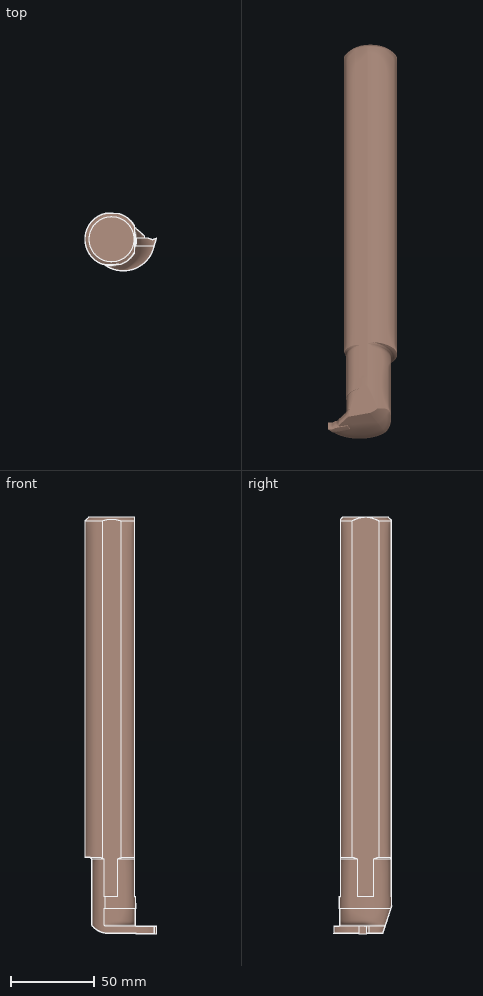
import cadquery as cq

total_length = 250.0
shank_radius = 16.0
shank_bottom = 46.0
end_chamfer = 2.5
front_flat = 15.0
back_flat = 15.5
cutting_flat = 13.8
flat_bottom = 22.5

neck_radius = 15.8
neck_center_x = -1.2
relief_step = 0.2
relief_top = 15.5
neck_root_fillet = 0.8
shoulder_height = 1.0

disc_radius = 19.0
disc_center_x = 7.0
head_bottom = 0.5
head_height = 4.8
heel_height = 5.5
heel_run = 8.5
heel_radius = 12.5
taper_top = 17.5
taper_foot_y = 10.2

insert_thickness = 4.8
insert_start_x = 14.5
insert_tip_x = 27.0
insert_side_relief = 1.5
rake_y = 0.8
groove_start_x = 22.0
groove_depth = 1.0
gullet_start = (8.5, 12.0)
gullet_end = (19.8, 2.0)
clearance = 50.0


def cylinder(radius, center_x, bottom, top):
    """Make an upright cylinder centred on the XZ plane."""
    return cq.Workplane("XY", origin=(center_x, 0, bottom)).circle(radius).extrude(top - bottom)


def flat_limits(bottom, top):
    """Make the block that trims a bar to its three flats."""
    width = clearance + cutting_flat
    block = cq.Workplane("XY", origin=(cutting_flat - width / 2, (back_flat - front_flat) / 2, bottom))
    return block.rect(width, front_flat + back_flat).extrude(top - bottom)


def make_shank():
    bar = cylinder(shank_radius, 0, shank_bottom, total_length).faces(">Z").chamfer(end_chamfer)
    return bar.intersect(flat_limits(shank_bottom, total_length))


def make_shoulder():
    """Make the 45 degree flare that joins the neck to the shank."""
    shoulder = cylinder(shank_radius, 0, shank_bottom - shoulder_height, shank_bottom)
    for (radius, center_x) in ((neck_radius, neck_center_x), (disc_radius, disc_center_x)):
        flare = cq.Solid.makeCone(
            radius,
            radius + shoulder_height,
            shoulder_height,
            pnt=cq.Vector(center_x, 0, shank_bottom - shoulder_height),
        )
        shoulder = shoulder.intersect(cq.Workplane(flare))
    return shoulder.intersect(flat_limits(shank_bottom - shoulder_height, shank_bottom))


def make_neck():
    flatted = cylinder(neck_radius, neck_center_x, flat_bottom, shank_bottom)
    flatted = flatted.intersect(flat_limits(flat_bottom, shank_bottom))
    collar = cylinder(neck_radius, neck_center_x, relief_top, flat_bottom)
    relief = cylinder(neck_radius - relief_step, neck_center_x, head_height, relief_top)
    root_radius = neck_radius - relief_step
    root = (
        cq.Workplane("XZ", origin=(neck_center_x, 0, 0))
        .moveTo(0, head_height)
        .lineTo(root_radius + neck_root_fillet, head_height)
        .radiusArc((root_radius, head_height + neck_root_fillet), neck_root_fillet)
        .lineTo(0, head_height + neck_root_fillet)
        .close()
        .revolve(360, (0, 0, 0), (0, 1, 0))
    )
    neck = flatted.union(collar).union(relief).union(root)
    return neck.intersect(cylinder(disc_radius, disc_center_x, head_height, shank_bottom))


def gullet_cutter():
    """Clear the chip space ahead of the insert's rake face."""
    (start_x, start_y) = gullet_start
    (end_x, end_y) = gullet_end
    return (
        cq.Workplane("XY")
        .polyline([
            (start_x, clearance),
            (start_x, start_y),
            (end_x, end_y),
            (end_x, rake_y),
            (clearance, rake_y),
            (clearance, clearance),
        ])
        .close()
        .extrude(head_height)
    )


def heel_cutter():
    """Round the lower -X edge of the head."""
    back_x = disc_center_x - disc_radius
    return (
        cq.Workplane("XZ", origin=(0, clearance, 0))
        .moveTo(back_x, heel_height)
        .radiusArc((back_x + heel_run, head_bottom), -heel_radius)
        .lineTo(back_x - heel_run, head_bottom)
        .lineTo(back_x - heel_run, heel_height)
        .close()
        .extrude(2 * clearance)
    )


def taper_cutter():
    """Slope the lower +Y side inward toward the end face."""
    slope = (shank_radius - taper_foot_y) / taper_top
    return (
        cq.Workplane("YZ", origin=(-clearance, 0, 0))
        .polyline([
            (taper_foot_y, 0),
            (taper_foot_y + slope * flat_bottom, flat_bottom),
            (clearance, flat_bottom),
            (clearance, 0),
        ])
        .close()
        .extrude(2 * clearance)
    )


def insert_blank():
    """Make the insert before its chip groove is cut."""
    return (
        cq.Workplane("XY")
        .polyline([
            (insert_start_x, rake_y),
            (insert_tip_x, rake_y),
            (insert_tip_x - insert_side_relief, rake_y - insert_thickness),
            (insert_start_x, rake_y - insert_thickness),
        ])
        .close()
        .extrude(head_height)
    )


def seat_cutter():
    """Open the insert seat through the end of the head."""
    length = clearance - insert_start_x
    return (
        cq.Workplane("XY")
        .rect(length, insert_thickness)
        .extrude(head_height)
        .translate((insert_start_x + length / 2, rake_y - insert_thickness / 2, 0))
    )


def make_insert():
    groove = (
        cq.Workplane("XY")
        .polyline([
            (groove_start_x, rake_y),
            ((groove_start_x + insert_tip_x) / 2, rake_y - groove_depth),
            (insert_tip_x, rake_y),
        ])
        .close()
        .extrude(head_height)
    )
    return insert_blank().cut(groove)


def make_holder():
    holder = make_shank().union(make_shoulder()).union(make_neck())
    holder = holder.union(cylinder(disc_radius, disc_center_x, head_bottom, head_height))
    return holder.cut(gullet_cutter()).cut(heel_cutter()).cut(taper_cutter()).cut(seat_cutter())


holder = make_holder()
insert = make_insert()
result = cq.Compound.makeCompound([holder.val(), insert.val()])